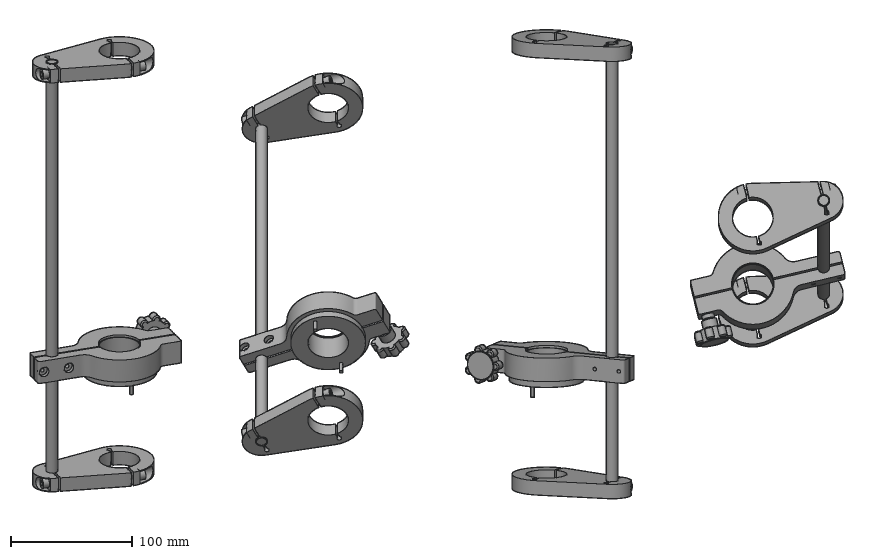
import cadquery as cq
import math


total_height = 381.0
rod_offset = 60.2
rod_radius = 5.0
rod_end_chamfer = 0.8

plate_thickness = 12.2
plate_big_radius = 28.5
plate_small_radius = 16.0
bore_radius = 16.8

slit_width = 2.0
relief_radius = 2.0
bore_relief_x = -22.5
rod_relief_x = -10.5
bore_screw_x = 23.0
rod_screw_x = 8.5
screw_seat = 7.2
screw_head_height = 5.5
screw_head_radius = 4.2
screw_socket_radius = 2.3
screw_socket_depth = 2.5
screw_shank_radius = 2.3
counterbore_radius = 5.5

clamp_bottom = 97.0
clamp_height = 20.0
clamp_radius = 34.3
clamp_bore_radius = 17.5
clamp_slot_width = 1.5
arm_end = rod_offset + plate_small_radius
arm_width = 20.2
arm_fillet = 9.0
arm_corner_radius = 2.0
lug_end = 49.5
lug_width = 29.7
lug_fillet = 4.0
lug_corner_radius = 1.0

arm_hole_spacing = 22.0
arm_hole_radius = 1.5
arm_counterbore_radius = 4.2
arm_counterbore_depth = 4.0

flange_thickness = 5.7
flange_radius = 31.0
bush_recess = 2.0
pin_radius = 1.5
pin_offset = 26.3
pin_length = 9.5

knob_y = 42.0
knob_face_x = -39.0
knob_face_height = 1.0
knob_thickness = 10.0
knob_core_radius = 12.2
lobe_count = 7
lobe_radius = 3.5
lobe_circle_radius = 12.5
lobe_chamfer = 1.0
hub_radius = 6.5
hub_length = 8.5
neck_radius = 4.5
neck_length = 1.0
collar_radius = 5.5
stud_radius = 3.0
stud_end_x = 7.5

clamp_top = clamp_bottom + clamp_height
clamp_middle = clamp_bottom + clamp_height / 2
flange_bottom = clamp_bottom - flange_thickness


def cylinder_z(x, y, bottom, radius, height):
    return cq.Workplane("XY", origin=(x, y, bottom)).circle(radius).extrude(height)


def cylinder_x(x, y, z, radius, length):
    """Cylinder that starts at x and runs toward +X."""
    return cq.Workplane("YZ", origin=(x, y, z)).circle(radius).extrude(length)


def cylinder_y(x, y, z, radius, length):
    """Cylinder that starts at y and runs toward +Y, or toward -Y for a negative length."""
    return cq.Workplane("XZ", origin=(x, y, z)).circle(radius).extrude(-length)


def box(x_range, y_range, bottom, height):
    size_x = x_range[1] - x_range[0]
    size_y = y_range[1] - y_range[0]
    blank = cq.Workplane("XY").box(size_x, size_y, height, centered=False)
    return blank.translate((x_range[0], y_range[0], bottom))


def plate_blank(bottom):
    """Two round ends of different radius joined by their common tangent lines."""
    tangent_sine = (plate_big_radius - plate_small_radius) / rod_offset
    tangent_cosine = math.sqrt(1 - tangent_sine**2)
    big_x = plate_big_radius * tangent_cosine
    big_y = -plate_big_radius * tangent_sine
    small_x = plate_small_radius * tangent_cosine
    small_y = -rod_offset - plate_small_radius * tangent_sine
    return (
        cq.Workplane("XY", origin=(0, 0, bottom))
        .moveTo(big_x, big_y)
        .threePointArc((0, plate_big_radius), (-big_x, big_y))
        .lineTo(-small_x, small_y)
        .threePointArc((0, -arm_end), (small_x, small_y))
        .close()
        .extrude(plate_thickness)
    )


def clamping_slit(relief_x, y, bottom):
    """Slit from a round relief hole out through the +X edge."""
    y_range = (y - slit_width / 2, y + slit_width / 2)
    slit = box((relief_x, plate_big_radius), y_range, bottom, plate_thickness)
    return slit.union(cylinder_z(relief_x, y, bottom, relief_radius, plate_thickness))


def clamping_screw(x, slit_y, z, direction):
    """Socket head screw across a slit, its head on the given Y side."""
    seat_y = slit_y + direction * screw_seat
    shank = cylinder_y(x, seat_y, z, screw_shank_radius, -2 * direction * screw_seat)
    head = cylinder_y(x, seat_y, z, screw_head_radius, direction * screw_head_height)
    socket = (
        cq.Workplane("XZ", origin=(x, seat_y + direction * screw_head_height, z))
        .polygon(6, 2 * screw_socket_radius)
        .extrude(direction * screw_socket_depth)
    )
    return shank.union(head).cut(socket)


def screw_pocket(x, seat_y, z, direction):
    """U-shaped counterbore: round around the screw axis and open toward the +X edge."""
    depth = direction * 2 * plate_big_radius
    pocket = cylinder_y(x, seat_y, z, counterbore_radius, depth)
    y_range = sorted((seat_y, seat_y + depth))
    side_opening = box((x, plate_big_radius), y_range, z - counterbore_radius, 2 * counterbore_radius)
    return pocket.union(side_opening)


def end_plate(bottom):
    plate = plate_blank(bottom)
    plate = plate.cut(cylinder_z(0, 0, bottom, bore_radius, plate_thickness))
    plate = plate.cut(cylinder_z(0, -rod_offset, bottom, rod_radius, plate_thickness))
    middle = bottom + plate_thickness / 2
    stations = (
        (0, bore_relief_x, bore_screw_x, 1),
        (-rod_offset, rod_relief_x, rod_screw_x, -1),
    )
    for slit_y, relief_x, screw_x, direction in stations:
        seat_y = slit_y + direction * screw_seat
        plate = plate.cut(clamping_slit(relief_x, slit_y, bottom))
        plate = plate.cut(screw_pocket(screw_x, seat_y, middle, direction))
        plate = plate.union(clamping_screw(screw_x, slit_y, middle, direction))
    return plate


def fillet_contact_y(half_width, fillet):
    """Distance from the bore at which a fillet to the round body meets a straight side."""
    return math.sqrt((clamp_radius + fillet) ** 2 - (half_width + fillet) ** 2)


def clamp_extension(half_width, fillet, end, corner_radius, side):
    """Straight extension on the given Y side, blended into the round body."""
    contact_y = fillet_contact_y(half_width, fillet)
    bar = box((-half_width, half_width), sorted((0, side * end)), clamp_bottom, clamp_height)
    end_face = ">Y" if side > 0 else "<Y"
    bar = bar.faces(end_face).edges("|Z").fillet(corner_radius)
    for x_side in (-1, 1):
        centre_x = x_side * (half_width + fillet)
        web = (
            cq.Workplane("XY", origin=(0, 0, clamp_bottom))
            .moveTo(0, 0)
            .lineTo(0, side * contact_y)
            .lineTo(centre_x, side * contact_y)
            .close()
            .extrude(clamp_height)
        )
        web = web.cut(cylinder_z(centre_x, side * contact_y, clamp_bottom, fillet, clamp_height))
        bar = bar.union(web)
    return bar


def clamp():
    body = cylinder_z(0, 0, clamp_bottom, clamp_radius, clamp_height)
    body = body.union(clamp_extension(arm_width / 2, arm_fillet, arm_end, arm_corner_radius, -1))
    body = body.union(clamp_extension(lug_width / 2, lug_fillet, lug_end, lug_corner_radius, 1))
    body = body.cut(cylinder_z(0, 0, clamp_bottom, clamp_bore_radius, clamp_height))
    slot_side = clamp_slot_width / 2
    body = body.cut(box((-slot_side, slot_side), (-arm_end, lug_end), clamp_bottom, clamp_height))
    for step in (-1, 1):
        hole_y = -rod_offset + step * arm_hole_spacing / 2
        hole = cylinder_x(-arm_width / 2, hole_y, clamp_middle, arm_hole_radius, arm_width)
        seat_x = arm_width / 2 - arm_counterbore_depth
        seat = cylinder_x(seat_x, hole_y, clamp_middle, arm_counterbore_radius, arm_counterbore_depth)
        body = body.cut(hole).cut(seat)
    return body


def flanged_bush():
    sleeve_height = clamp_top - bush_recess - flange_bottom
    bush = cylinder_z(0, 0, flange_bottom, flange_radius, flange_thickness)
    bush = bush.union(cylinder_z(0, 0, flange_bottom, clamp_bore_radius, sleeve_height))
    bush = bush.cut(cylinder_z(0, 0, flange_bottom, bore_radius, sleeve_height))
    pin_bottom = flange_bottom - pin_length
    pin_height = pin_length + flange_thickness
    for pin_x in (-pin_offset, pin_offset):
        bush = bush.union(cylinder_z(pin_x, 0, pin_bottom, pin_radius, pin_height))
    return bush


def knob():
    lobed_x = knob_face_x + knob_face_height
    hub_x = lobed_x + knob_thickness
    neck_x = hub_x + hub_length
    collar_x = neck_x + neck_length
    lug_face_x = -lug_width / 2
    face = cylinder_x(knob_face_x, knob_y, clamp_middle, knob_core_radius, knob_face_height)
    head = face.faces("<X").chamfer(knob_face_height / 2)
    head = head.union(cylinder_x(lobed_x, knob_y, clamp_middle, knob_core_radius, knob_thickness))
    for index in range(lobe_count):
        angle = 2 * math.pi * index / lobe_count
        lobe_y = knob_y - lobe_circle_radius * math.cos(angle)
        lobe_z = clamp_middle + lobe_circle_radius * math.sin(angle)
        lobe = cylinder_x(lobed_x, lobe_y, lobe_z, lobe_radius, knob_thickness)
        head = head.union(lobe.faces("<X or >X").chamfer(lobe_chamfer))
    head = head.union(cylinder_x(hub_x, knob_y, clamp_middle, hub_radius, hub_length))
    head = head.union(cylinder_x(neck_x, knob_y, clamp_middle, neck_radius, neck_length))
    head = head.union(cylinder_x(collar_x, knob_y, clamp_middle, collar_radius, lug_face_x - collar_x))
    return head.union(cylinder_x(lug_face_x, knob_y, clamp_middle, stud_radius, stud_end_x - lug_face_x))


rod = cylinder_z(0, -rod_offset, 0, rod_radius, total_height).faces("<Z or >Z").chamfer(rod_end_chamfer)

result = rod
for plate_bottom in (0, total_height - plate_thickness):
    result = result.union(end_plate(plate_bottom))
for component in (clamp(), flanged_bush(), knob()):
    result = result.union(component)